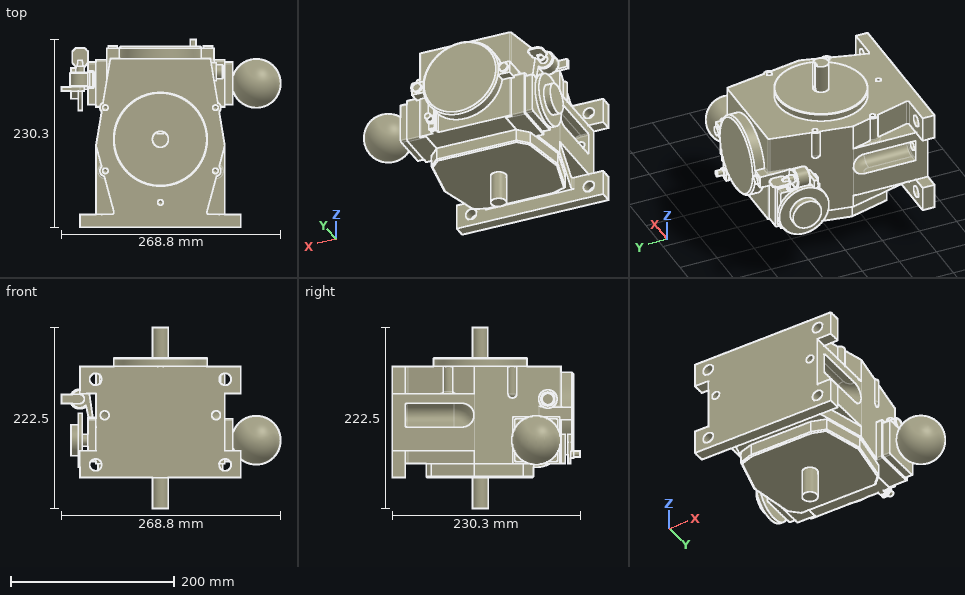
import cadquery as cq
import math


select_margin = 0.3

plate_width = 197.5
plate_height = 136.5
plate_front_y = -108.0
plate_thickness = 16.0
plate_back_y = plate_front_y + plate_thickness
plate_notch_z = 33.3
mount_hole_dia = 14.5
mount_hole_x = 79.3
mount_hole_pitch_z = 105.0
dowel_hole_dia = 10.8
dowel_hole_x = 68.3
dowel_hole_depth = 16.0
drill_tip_angle = 118.0
pocket_z = 76.6

body_half_width = 79.0
body_widest_y = -7.3
body_rear_y = 99.0
body_rear_half_width = 61.3
body_front_half_width = 56.2
body_bottom_z = 17.2
body_corner_radius = 2.0
plate_joint_radius = 2.5
block_bottom_z = plate_notch_z
block_top_z = plate_height - plate_notch_z

screw_hole_dia = 6.7
screw_hole_depth = 13.5
screw_x = 67.5
screw_y = 38.7
lug_radius = 6.7
lug_foot_fillet = 2.7
front_screw_y = -2 * screw_y

pocket_radius = 14.5
pocket_depth = 24.7
pocket_rear_y = -7.8
pocket_front_fillet = 1.5

top_disc_radius = 57.5
top_disc_height = 10.2
top_disc_chamfer = 0.8
boss_half_width = 76.6
boss_side_rear_y = 52.5
boss_side_front_y = -60.2
boss_rear_y = 65.3
boss_front_y = -66.5
boss_front_corner_width = 18.8
boss_chamfer = 1.5

flange_radius = 50.8
flange_rear_y = 114.3
flange_chamfer = 2.5
flange_z = 78.8
ear_half_width = 66.0
ear_rear_y = 111.9
ear_front_y = 53.8
ear_height = 15.5
ear_fillet = 2.0
ear_boss_x = 58.4
ear_boss_dia = 11.3
ear_boss_height = 2.7

stop_pin_x = 40.0
stop_pin_z = 29.0
stop_pin_radius = 3.8
stop_pin_rear_y = 122.3
stop_arm_radius = 5.0
stop_arm_thickness = 3.5
stop_tab_width = 7.5
stop_tab_rear_y = 110.8
stop_tab_thickness = 3.5
stop_block_depth = 5.5

worm_y = 68.5
worm_z = 46.0
inner_pad_size = 58.0
outer_pad_size = 52.7
outer_pad_x = 89.0
pad_root_x = 53.8
pad_corner_radius = 2.2

plug_y = 82.8
plug_z = 96.5
plug_root_x = 59.2
plug_collar_x = 68.3
plug_collar_radius = 11.3
plug_end_x = 77.2
plug_radius = 8.5
plug_chamfer = 1.5

shaft_dia = 19.5
shaft_radius = shaft_dia / 2
shaft_bottom_z = -38.0
shaft_top_z = 184.5
keyway_width = 7.3
keyway_floor_y = 6.7

wheel_radius = 33.3
wheel_inner_x = -95.7
wheel_outer_x = -100.8
hub_radius = 19.0
hub_outer_x = -109.7
stub_radius = 7.5

ball_radius = 30.0
ball_x = 117.5

lock_x = -99.0
lock_z = 96.5
lock_radius = 12.0
lock_front_y = 64.3
lock_rear_y = 82.3
lock_chamfer = 1.3
lever_tip_x = -121.3
lever_front_y = 59.2
lever_half_height = 5.6
key_x = -98.5
key_plug_radius = 5.0
key_plug_rear_y = 89.5
key_neck_radius = 3.8
key_neck_tip_radius = 2.7
key_neck_rear_y = 96.8
bow_half_width = 9.7
bow_rear_y = 112.0
bow_front_y = 85.8
bow_corner = 4.3
bow_taper_y = 93.8
bow_root_half_width = 3.2
bow_thickness = 1.5
foot_left_x = -89.0
foot_right_x = -81.2
foot_width = 21.8
foot_height = 1.5
foot_corner_radius = 2.7
strap_foot_left_x = -88.0
strap_foot_right_x = -82.5
strap_bend_x = -91.5
strap_bend_z = 88.7


def box(x_range, y_range, z_range):
    """Box spanning the given (min, max) ranges."""
    spans = (x_range, y_range, z_range)
    sizes = [high - low for low, high in spans]
    return cq.Workplane("XY").box(*sizes, centered=False).translate([low for low, high in spans])


def cylinder_x(radius, x_range, y, z):
    return cq.Workplane("YZ", origin=(x_range[0], y, z)).circle(radius).extrude(x_range[1] - x_range[0])


def cylinder_y(radius, y_range, x, z):
    return cq.Workplane("XZ", origin=(x, y_range[1], z)).circle(radius).extrude(y_range[1] - y_range[0])


def cylinder_z(radius, z_range, x, y):
    return cq.Workplane("XY", origin=(x, y, z_range[0])).circle(radius).extrude(z_range[1] - z_range[0])


def mirrored_pair(shape):
    """The shape together with its mirror image on the other side of the YZ plane."""
    return shape.union(shape.mirror("YZ"))


def make_plate():
    half = plate_width / 2
    plate = box((-half, half), (plate_front_y, plate_back_y), (0, plate_height))
    notch = box((-half, -body_half_width), (plate_front_y, plate_back_y), (block_bottom_z, block_top_z))
    return plate.cut(mirrored_pair(notch))


def make_tapered_body():
    """Six-sided upright block, widest a little in front of the shaft axis."""
    body = (
        cq.Workplane("XY", origin=(0, 0, body_bottom_z))
        .polyline([
            (-body_rear_half_width, body_rear_y),
            (body_rear_half_width, body_rear_y),
            (body_half_width, body_widest_y),
            (body_front_half_width, plate_back_y),
            (-body_front_half_width, plate_back_y),
            (-body_half_width, body_widest_y),
        ])
        .close()
        .extrude(plate_height - body_bottom_z)
    )
    return body.edges("|Z and >Y").fillet(body_corner_radius)


def make_casting():
    """Tapered body joined to the base plate with rounded inner corners."""
    joint_edges = cq.selectors.BoxSelector(
        (-body_front_half_width - select_margin, plate_back_y - select_margin, 0),
        (body_front_half_width + select_margin, plate_back_y + select_margin, plate_height),
    )
    casting = make_tapered_body().union(make_plate())
    return casting.edges("|Z").edges(joint_edges).fillet(plate_joint_radius)


def make_side_block():
    return box(
        (-body_half_width, body_half_width),
        (plate_back_y, body_widest_y),
        (block_bottom_z, block_top_z),
    )


def make_lugs():
    """Vertical screw lugs: the rear pair ends in a dome, the front pair flares out on the side block."""
    rear = cylinder_z(lug_radius, (block_top_z, plate_height), screw_x, screw_y)
    dome = cq.Workplane("XY").sphere(lug_radius).translate((screw_x, screw_y, block_top_z))
    lug_height = plate_height - block_top_z
    front = (
        cq.Workplane("XZ")
        .lineTo(lug_radius + lug_foot_fillet, 0)
        .radiusArc((lug_radius, lug_foot_fillet), lug_foot_fillet)
        .lineTo(lug_radius, lug_height)
        .lineTo(0, lug_height)
        .close()
        .revolve(360, (0, 0, 0), (0, 1, 0))
        .translate((screw_x, -screw_y, block_top_z))
    )
    return mirrored_pair(rear.union(dome).union(front))


def make_boss():
    """Eight-sided cover under the casting, narrower than the casting."""
    rear_taper = (body_half_width - body_rear_half_width) / (body_rear_y - body_widest_y)
    front_taper = (body_half_width - body_front_half_width) / (body_widest_y - plate_back_y)
    rear_side_x = boss_half_width - rear_taper * (boss_side_rear_y - body_widest_y)
    front_side_x = boss_half_width - front_taper * (body_widest_y - boss_side_front_y)
    rear_x = rear_side_x - (boss_rear_y - boss_side_rear_y)
    front_x = front_side_x - boss_front_corner_width
    right_side = [
        (rear_x, boss_rear_y),
        (rear_side_x, boss_side_rear_y),
        (boss_half_width, body_widest_y),
        (front_side_x, boss_side_front_y),
        (front_x, boss_front_y),
    ]
    left_side = [(-x, y) for x, y in reversed(right_side)]
    boss = cq.Workplane("XY").polyline(right_side + left_side).close().extrude(body_bottom_z)
    return boss.faces("<Z").chamfer(boss_chamfer)


def make_top_disc():
    disc = cylinder_z(top_disc_radius, (plate_height, plate_height + top_disc_height), 0, 0)
    return disc.faces(">Z").chamfer(top_disc_chamfer)


def make_flange():
    disc = cylinder_y(flange_radius, (ear_front_y, flange_rear_y), 0, flange_z)
    disc = disc.faces(">Y").chamfer(flange_chamfer)
    bosses = mirrored_pair(
        cylinder_y(ear_boss_dia / 2, (ear_front_y, ear_rear_y + ear_boss_height), ear_boss_x, flange_z)
    )
    return disc.union(bosses)


def make_ears():
    """Flange ears, filleted on top where they meet the rear of the tapered body."""
    ear_bottom_z = flange_z - ear_height / 2
    ear_top_z = flange_z + ear_height / 2
    y_range = (ear_front_y, ear_rear_y)
    slab = box((-body_half_width, body_half_width), y_range, (ear_bottom_z, ear_top_z))
    body_rear = make_tapered_body().intersect(
        box((-body_half_width, body_half_width), y_range, (ear_bottom_z, plate_height))
    )
    joint_edges = cq.selectors.BoxSelector(
        (-body_half_width + select_margin, ear_front_y + select_margin, ear_top_z - select_margin),
        (body_half_width - select_margin, body_rear_y + select_margin, ear_top_z + select_margin),
    )
    ears = slab.union(body_rear).edges(joint_edges).fillet(ear_fillet)
    return ears.intersect(box((-ear_half_width, ear_half_width), y_range, (ear_bottom_z, plate_height)))


def make_stop():
    """Pin on a short arm beside the flange, with two tabs below the arm."""
    arm_front_y = flange_rear_y - stop_arm_thickness
    pin = cylinder_y(stop_pin_radius, (arm_front_y, stop_pin_rear_y), stop_pin_x, stop_pin_z)
    head = cylinder_y(stop_arm_radius, (arm_front_y, flange_rear_y), stop_pin_x, stop_pin_z)
    x_range = (stop_pin_x - stop_tab_width / 2, stop_pin_x + stop_tab_width / 2)
    arm = box(x_range, (arm_front_y, flange_rear_y - flange_chamfer), (stop_pin_z, flange_z))
    tab = box(x_range, (stop_tab_rear_y - stop_tab_thickness, stop_tab_rear_y), (body_bottom_z, flange_z))
    block = box(x_range, (body_rear_y, body_rear_y + stop_block_depth), (body_bottom_z, flange_z))
    return pin.union(head).union(arm).union(tab).union(block)


def make_pad(size, end_x):
    """Square pad that stands out to end_x on both sides."""
    pad = (
        cq.Workplane("YZ", origin=(pad_root_x, worm_y, worm_z))
        .rect(size, size)
        .extrude(end_x - pad_root_x)
    )
    return mirrored_pair(pad.edges("|X").fillet(pad_corner_radius))


def make_plug():
    collar = cylinder_x(plug_collar_radius, (plug_root_x, plug_collar_x), plug_y, plug_z)
    stem = cylinder_x(plug_radius, (plug_root_x, plug_end_x), plug_y, plug_z)
    return collar.union(stem.faces(">X").chamfer(plug_chamfer))


def make_side_pockets():
    """Round-bottomed troughs whose rear end turns about a vertical axis in the side face."""
    center_y = pocket_rear_y - pocket_depth
    floor_x = body_half_width - pocket_depth
    round_x = floor_x + pocket_radius
    profile = (
        cq.Workplane("XZ", origin=(0, center_y, 0))
        .moveTo(body_half_width, pocket_z - pocket_radius)
        .lineTo(round_x, pocket_z - pocket_radius)
        .threePointArc((floor_x, pocket_z), (round_x, pocket_z + pocket_radius))
        .lineTo(body_half_width, pocket_z + pocket_radius)
        .close()
    )
    trough = profile.extrude(center_y - plate_back_y)
    trough = trough.faces("<Y").edges("not >X").fillet(pocket_front_fillet)
    end = profile.toPending().revolve(360, (body_half_width, 0, 0), (body_half_width, 1, 0))
    return mirrored_pair(trough.union(end))


def drilled_hole(diameter, depth):
    """Blind hole going down from the origin, with a conical bottom."""
    radius = diameter / 2
    tip_depth = radius / math.tan(math.radians(drill_tip_angle / 2))
    return (
        cq.Workplane("XZ")
        .polyline([(0, 0), (radius, 0), (radius, -depth), (0, -depth - tip_depth)])
        .close()
        .revolve(360, (0, 0, 0), (0, 1, 0))
    )


def make_plate_holes():
    mount_holes = (
        cq.Workplane("XZ", origin=(0, plate_back_y, plate_height / 2))
        .rarray(2 * mount_hole_x, mount_hole_pitch_z, 2, 2)
        .circle(mount_hole_dia / 2)
        .extrude(plate_thickness)
    )
    dowel_hole = drilled_hole(dowel_hole_dia, dowel_hole_depth).rotate((0, 0, 0), (1, 0, 0), 90)
    dowel_hole = dowel_hole.translate((dowel_hole_x, plate_front_y, pocket_z))
    return mount_holes.union(mirrored_pair(dowel_hole))


def make_screw_holes():
    places = [(side * screw_x, y) for side in (-1, 1) for y in (-screw_y, screw_y)]
    places.append((0, front_screw_y))
    hole = drilled_hole(screw_hole_dia, screw_hole_depth)
    holes = cq.Workplane("XY")
    for x, y in places:
        holes = holes.union(hole.translate((x, y, plate_height)))
    return holes


def make_housing():
    housing = make_casting()
    for feature in (
        make_ears(),
        make_side_block(),
        make_lugs(),
        make_boss(),
        make_top_disc(),
        make_flange(),
        make_stop(),
        make_pad(inner_pad_size, body_half_width),
        make_pad(outer_pad_size, outer_pad_x),
        make_plug(),
    ):
        housing = housing.union(feature)
    shaft_bore = cylinder_z(shaft_radius, (0, plate_height + top_disc_height), 0, 0)
    for hole in (make_side_pockets(), make_plate_holes(), make_screw_holes(), shaft_bore):
        housing = housing.cut(hole)
    return housing


def make_shaft():
    shaft = cylinder_z(shaft_radius, (shaft_bottom_z, shaft_top_z), 0, 0)
    keyway = box(
        (-keyway_width / 2, keyway_width / 2),
        (keyway_floor_y, shaft_radius),
        (plate_height + top_disc_height, shaft_top_z),
    )
    return shaft.cut(keyway)


def make_handwheel():
    rim = cylinder_x(wheel_radius, (wheel_outer_x, wheel_inner_x), worm_y, worm_z)
    hub = cylinder_x(hub_radius, (hub_outer_x, wheel_outer_x), worm_y, worm_z)
    stub = cylinder_x(stub_radius, (wheel_inner_x, -outer_pad_x), worm_y, worm_z)
    return rim.union(hub).union(stub)


def make_ball():
    """Ball with a flat where it sits against the outer pad."""
    ball = cq.Workplane("XZ").sphere(ball_radius).translate((ball_x, worm_y, worm_z))
    half = outer_pad_size / 2
    pad_side = box(
        (pad_root_x, outer_pad_x),
        (worm_y - half, worm_y + half),
        (worm_z - half, worm_z + half),
    )
    return ball.cut(pad_side)


def make_key():
    """Key plug, neck and flat bow, along Y behind the lock barrel."""
    plug = cylinder_y(key_plug_radius, (lock_rear_y, key_plug_rear_y), key_x, lock_z)
    neck = (
        cq.Workplane("XY")
        .polyline([
            (0, key_plug_rear_y),
            (key_neck_radius, key_plug_rear_y),
            (key_neck_tip_radius, key_neck_rear_y),
            (0, key_neck_rear_y),
        ])
        .close()
        .revolve(360, (0, 0, 0), (0, 1, 0))
        .translate((key_x, 0, lock_z))
    )
    right_side = [
        (bow_half_width - bow_corner, bow_rear_y),
        (bow_half_width, bow_rear_y - bow_corner),
        (bow_half_width, bow_taper_y),
        (bow_root_half_width, bow_front_y),
    ]
    left_side = [(-x, y) for x, y in reversed(right_side)]
    bow = (
        cq.Workplane("XY", origin=(key_x, 0, lock_z - bow_thickness / 2))
        .polyline(right_side + left_side)
        .close()
        .extrude(bow_thickness)
    )
    return plug.union(neck).union(bow)


def make_lock():
    """Lock barrel along Y with its lever, key, and the strap and foot that hold it on the outer pad."""
    barrel = cylinder_y(lock_radius, (lock_front_y, lock_rear_y), lock_x, lock_z)
    barrel = barrel.faces("<Y or >Y").chamfer(lock_chamfer)
    lever_arm = box(
        (lever_tip_x, lock_x),
        (lever_front_y, lock_front_y),
        (lock_z - lever_half_height, lock_z + lever_half_height),
    )
    lever_end = cylinder_y(lever_half_height, (lever_front_y, lock_front_y), lock_x, lock_z)
    pad_top_z = worm_z + outer_pad_size / 2
    strap = (
        cq.Workplane("XZ", origin=(0, lock_rear_y, 0))
        .polyline([
            (lock_x, lock_z + lock_radius - lock_chamfer),
            (lock_x + lock_radius, lock_z + lock_radius / 2),
            (strap_foot_right_x, pad_top_z),
            (strap_foot_left_x, pad_top_z),
            (strap_bend_x, strap_bend_z),
            (lock_x, lock_z),
        ])
        .close()
        .extrude(lock_rear_y - lock_front_y)
    )
    middle_y = (lock_front_y + lock_rear_y) / 2
    foot = box(
        (foot_left_x, foot_right_x),
        (middle_y - foot_width / 2, middle_y + foot_width / 2),
        (pad_top_z, pad_top_z + foot_height),
    )
    foot = foot.edges("|Z and >X").fillet(foot_corner_radius)
    return barrel.union(lever_arm).union(lever_end).union(strap).union(foot).union(make_key())


housing = make_housing()
shaft = make_shaft()
handwheel = make_handwheel()
ball = make_ball()
lock = make_lock()

result = cq.Compound.makeCompound([
    housing.val(),
    shaft.val(),
    handwheel.val(),
    ball.val(),
    lock.val(),
])